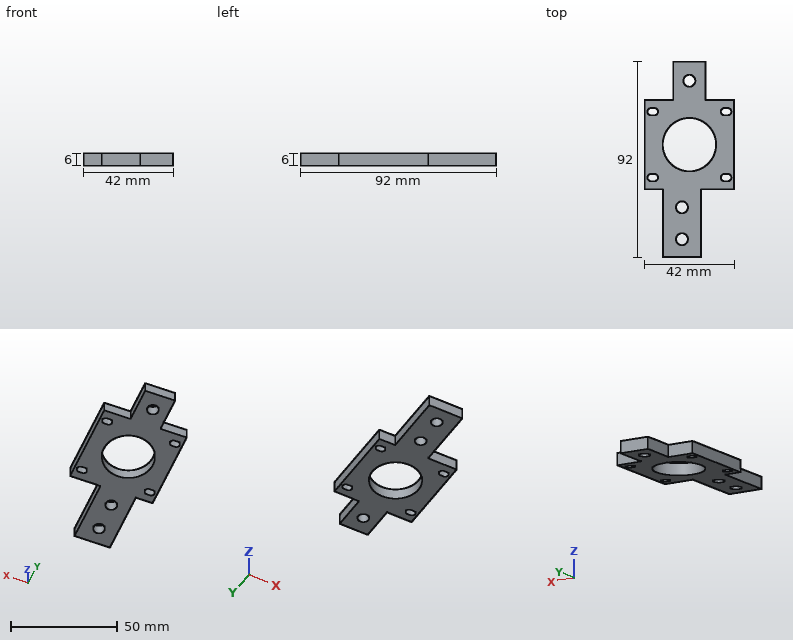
import cadquery as cq

total_length = 92.0
thickness = 6.0

plate_side = 42.0
bore_diameter = 25.0

upper_tab_length = 18.0
upper_tab_width = 15.3
upper_hole_from_end = upper_tab_length / 2

lower_tab_length = total_length - plate_side - upper_tab_length
lower_tab_width = 18.0
lower_tab_x = -3.5
lower_hole_from_end = 8.5
lower_hole_spacing = 15.0

tab_hole_diameter = 5.5

slot_length = 4.9
slot_width = 3.3
slot_spacing_x = 34.5
slot_spacing_y = 31.0

plate_edge = plate_side / 2
upper_end = plate_edge + upper_tab_length
lower_end = -plate_edge - lower_tab_length


def block(width, y_min, y_max, x_center=0):
    """Full-thickness rectangular block spanning y_min to y_max."""
    return (
        cq.Workplane("XY")
        .center(x_center, (y_min + y_max) / 2)
        .rect(width, y_max - y_min)
        .extrude(thickness)
    )


body = block(plate_side, -plate_edge, plate_edge)
body = body.union(block(upper_tab_width, 0, upper_end))
body = body.union(block(lower_tab_width, lower_end, 0, lower_tab_x))

bore = cq.Workplane("XY").circle(bore_diameter / 2).extrude(thickness)

first_lower_hole_y = lower_end + lower_hole_from_end
hole_centers = [
    (0, upper_end - upper_hole_from_end),
    (lower_tab_x, first_lower_hole_y),
    (lower_tab_x, first_lower_hole_y + lower_hole_spacing),
]
tab_holes = (
    cq.Workplane("XY")
    .pushPoints(hole_centers)
    .circle(tab_hole_diameter / 2)
    .extrude(thickness)
)

slots = (
    cq.Workplane("XY")
    .rarray(slot_spacing_x, slot_spacing_y, 2, 2)
    .slot2D(slot_length, slot_width)
    .extrude(thickness)
)

result = body.cut(bore).cut(tab_holes).cut(slots)